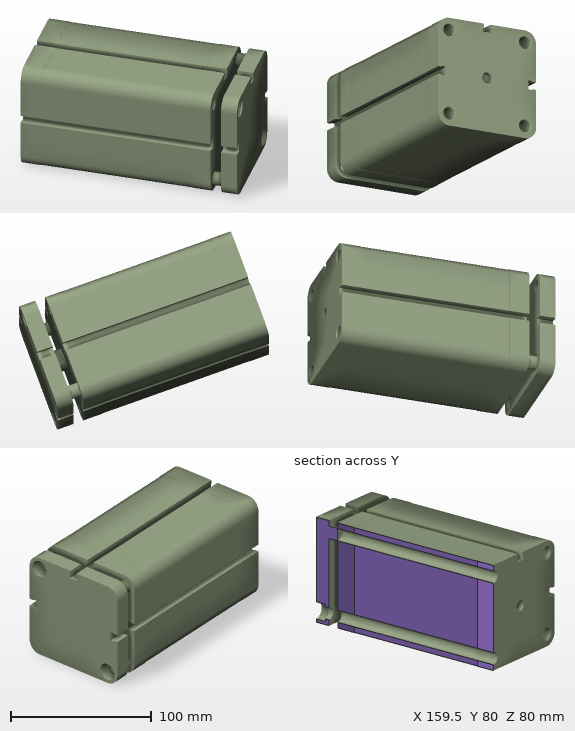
import cadquery as cq


cap_length = 14.8
barrel_front = 125.2
front_cap_front = barrel_front + cap_length
plate_rear = 147.7
total_length = 159.5
gap_length = plate_rear - front_cap_front

section_size = 80.0
corner_radius = 9.1
barrel_setback = 0.2

slot_neck_width = 5.6
slot_neck_depth = 3.0
slot_floor_width = 6.7
slot_depth = 6.0

hole_offset = section_size / 2 - corner_radius
corner_hole_diameter = 9.0
hole_chamfer = 0.5

counterbore_diameter = 12.8
web_thickness = 4.0

centre_hole_diameter = 8.1
centre_hole_depth = 4.0

rod_diameter = 16.0
rod_chamfer = 0.5
flat_distance = 12.8
flat_start = 1.5

guide_diameter = 9.9

guide_corners = [(hole_offset, hole_offset), (-hole_offset, -hole_offset)]
open_corners = [(hole_offset, -hole_offset), (-hole_offset, hole_offset)]
all_corners = guide_corners + open_corners


def plane_at(x):
    """Workplane across the axis at X = x, with local axes along Y and Z and normal +X."""
    return cq.Workplane("YZ", origin=(x, 0, 0))


def slot_cutter(x, length, size):
    """Stepped slot along the top face of a section of the given size."""
    top = size / 2
    neck = slot_neck_width / 2
    floor = slot_floor_width / 2
    step_height = section_size / 2 - slot_neck_depth
    floor_height = section_size / 2 - slot_depth
    outline = [
        (-neck, top),
        (-neck, step_height),
        (-floor, step_height),
        (-floor, floor_height),
        (floor, floor_height),
        (floor, step_height),
        (neck, step_height),
        (neck, top),
    ]
    return plane_at(x).polyline(outline).close().extrude(length)


def slotted_block(x, length, size=section_size):
    """Rounded square block with a sensor slot on the +Z, +Y and -Y faces."""
    block = plane_at(x).rect(size, size).extrude(length)
    block = block.edges("|X").fillet(corner_radius)
    cutter = slot_cutter(x, length, size)
    for angle in (-90, 0, 90):
        block = block.cut(cutter.rotate((0, 0, 0), (1, 0, 0), angle))
    return block


def corner_holes(x, length, corners, diameter=corner_hole_diameter):
    return plane_at(x).pushPoints(corners).circle(diameter / 2).extrude(length)


def hole_mouths(corners):
    """Cones that chamfer the corner holes where they open on the rear face."""
    hole_radius = corner_hole_diameter / 2
    cones = cq.Workplane()
    for y, z in corners:
        centre = cq.Vector(0, y, z)
        axis = cq.Vector(1, 0, 0)
        cones = cones.add(cq.Solid.makeCone(hole_radius + hole_chamfer, hole_radius, hole_chamfer, centre, axis))
    return cones.combine()


def make_rear_cap():
    cap = slotted_block(0, cap_length)
    cap = cap.cut(corner_holes(0, cap_length, all_corners))
    cap = cap.cut(hole_mouths(all_corners))
    centre_hole = plane_at(0).circle(centre_hole_diameter / 2).extrude(centre_hole_depth)
    return cap.cut(centre_hole)


def make_barrel():
    length = barrel_front - cap_length
    barrel = slotted_block(cap_length, length, section_size - 2 * barrel_setback)
    return barrel.cut(corner_holes(cap_length, length, all_corners))


def make_front_cap():
    cap = slotted_block(barrel_front, cap_length)
    return cap.cut(corner_holes(barrel_front, cap_length, all_corners))


def make_piston_rod():
    """Rod between the front cap and the plate, chamfered at the plate end, flats facing +Z and -Z."""
    rod = plane_at(front_cap_front).circle(rod_diameter / 2).extrude(gap_length)
    rod = rod.faces(">X").chamfer(rod_chamfer)
    shoulder = plane_at(front_cap_front).circle(rod_diameter / 2).extrude(flat_start)
    flats = plane_at(front_cap_front + flat_start).rect(rod_diameter, flat_distance).extrude(gap_length)
    return rod.intersect(shoulder.union(flats))


def make_guided_plate():
    """End plate carrying two guide rods that reach back to the front cap."""
    length = total_length - plate_rear
    plate = slotted_block(plate_rear, length)
    plate = plate.cut(corner_holes(plate_rear, length, open_corners))
    counterbore_depth = length - web_thickness
    counterbore_start = plate_rear + web_thickness
    plate = plate.cut(corner_holes(counterbore_start, counterbore_depth, open_corners, counterbore_diameter))
    guides = plane_at(front_cap_front).pushPoints(guide_corners).circle(guide_diameter / 2).extrude(gap_length)
    return plate.union(guides)


rear_cap = make_rear_cap()
barrel = make_barrel()
front_cap = make_front_cap()
piston_rod = make_piston_rod()
guided_plate = make_guided_plate()

result = cq.Compound.makeCompound(
    [rear_cap.val(), barrel.val(), front_cap.val(), piston_rod.val(), guided_plate.val()]
)